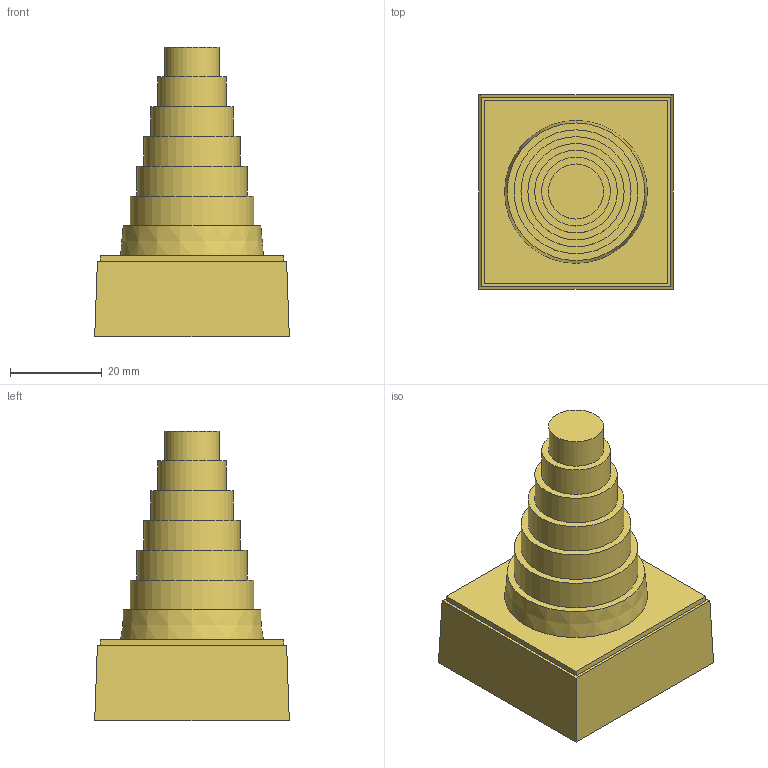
import cadquery as cq
import math

base_bottom_width = 42.41
base_height = 16.5
base_draft_angle = 2.0

plate_width = 40.0
plate_height = 1.2

tier_count = 7
tier_height = 6.5
top_tier_radius = 6.0
tier_radius_step = 1.5
flare_angle = 5.0


def make_base():
    """Square block whose four sides lean inwards."""
    return (
        cq.Workplane("XY")
        .rect(base_bottom_width, base_bottom_width)
        .extrude(base_height, taper=base_draft_angle)
    )


def make_plate():
    """Square plate standing on the base."""
    return (
        cq.Workplane("XY", origin=(0, 0, base_height))
        .rect(plate_width, plate_width)
        .extrude(plate_height)
    )


def make_tower():
    """Revolved stack of tiers: a flared lowest tier, then straight ones."""
    bottom_z = base_height + plate_height
    flare_top_radius = top_tier_radius + (tier_count - 1) * tier_radius_step
    flare_bottom_radius = flare_top_radius + tier_height * math.tan(math.radians(flare_angle))

    profile = cq.Workplane("XZ").moveTo(0, bottom_z).lineTo(flare_bottom_radius, bottom_z)
    for tier in range(tier_count):
        radius = flare_top_radius - tier * tier_radius_step
        tier_bottom_z = bottom_z + tier * tier_height
        if tier > 0:
            profile = profile.lineTo(radius, tier_bottom_z)
        profile = profile.lineTo(radius, tier_bottom_z + tier_height)
    top_z = bottom_z + tier_count * tier_height
    return profile.lineTo(0, top_z).close().revolve(360, (0, 0, 0), (0, 1, 0))


result = make_base().union(make_plate()).union(make_tower())